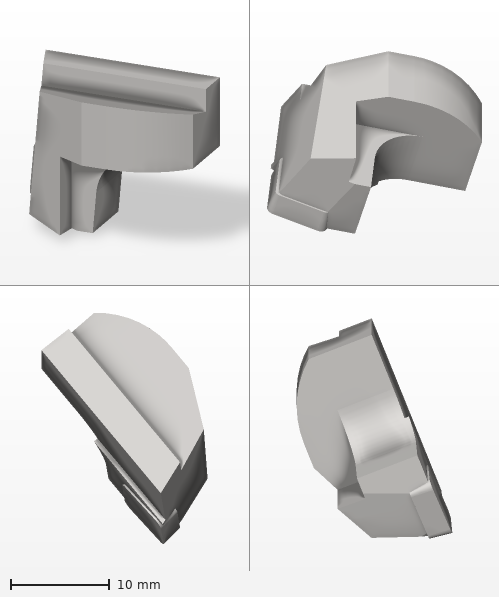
import cadquery as cq
import math


def slope(angle):
    return math.tan(math.radians(angle))


LENGTH = 20.5
HEIGHT = 16.93
BOTTOM_Z = 0.4
HEAD_RADIUS = 10.52
HEAD_FLAT_LEFT_X = 9.8
HEAD_FLAT_RIGHT_X = 12.53
OBLIQUE_ANGLE = 25.2
HEAD_BOTTOM_Z = 9.47

RIDGE_WIDTH = 3.55
RIDGE_FOOT_Z = 14.47
DECK_ANGLE = 15.0

LEFT_TOP_X = 1.3
LEFT_LEAN = 5.0
LEFT_RELIEF = 20.0
END_ANGLE = 15.0
END_RELIEF = 6.0
END_Z = 1.76

SHANK_STEP_X = 6.8
SHANK_FRONT_Y = -6.09
THROAT_RADIUS = 5.0
SHANK_RIGHT_X = 9.12

LIP_THICKNESS = 0.47
LIP_TOP_Z = 8.45

INSCRIBED_DIAMETER = 6.35
INSERT_THICKNESS = 2.38
INSERT_NOSE_RADIUS = 0.8
INSERT_CLEARANCE = 7.0
INSERT_REAR_Y = 0.68
INSERT_FRONT_Y = INSERT_REAR_Y - INSERT_THICKNESS

RELIEF_START_X = 0.3
RELIEF_START_Z = 7.9
RELIEF_ANGLE = 34.5
RELIEF_END_X = 1.23
CORNER_LEFT_Z = 2.0
CORNER_RIGHT_X = 0.98
CORNER_DEPTH = 0.7

MARGIN = 4.1


def left_x(y, z):
    """X of the left face."""
    return LEFT_TOP_X - (HEIGHT - z) * slope(LEFT_LEAN) - y * slope(LEFT_RELIEF)


def end_z(x, y):
    """Z of the slanted lower end."""
    return END_Z - x * slope(END_ANGLE) - y * slope(END_RELIEF)


def solid_between(bottom, top):
    """Solid with flat faces between two outlines of equal point count."""
    def face(points):
        return cq.Face.makeFromWires(cq.Wire.makePolygon(points, close=True))

    sides = []
    for i in range(len(bottom)):
        j = (i + 1) % len(bottom)
        sides.append(face([bottom[i], bottom[j], top[j], top[i]]))
    shell = cq.Shell.makeShell([face(bottom), face(top)] + sides)
    return cq.Workplane(obj=cq.Solid.makeSolid(shell).fix())


def extrude_y(outline, front_y, rear_y):
    """Prism of an XZ sketch from front_y back to rear_y."""
    return outline.extrude(rear_y - front_y).translate((0, rear_y, 0))


def head_plan():
    """Full-height block with the rounded and oblique front."""
    left = -MARGIN
    oblique_y = -HEAD_RADIUS + (HEAD_FLAT_LEFT_X - left) * slope(OBLIQUE_ANGLE)
    reach = LENGTH - HEAD_FLAT_RIGHT_X
    half_turn = math.asin(reach / HEAD_RADIUS) / 2
    middle = (
        HEAD_FLAT_RIGHT_X + HEAD_RADIUS * math.sin(half_turn),
        -HEAD_RADIUS * math.cos(half_turn),
    )
    arc_end_y = -math.sqrt(HEAD_RADIUS**2 - reach**2)
    return (
        cq.Workplane("XY").workplane(offset=BOTTOM_Z)
        .moveTo(left, 0)
        .lineTo(left, oblique_y)
        .lineTo(HEAD_FLAT_LEFT_X, -HEAD_RADIUS)
        .lineTo(HEAD_FLAT_RIGHT_X, -HEAD_RADIUS)
        .threePointArc(middle, (LENGTH, arc_end_y))
        .lineTo(LENGTH, 0)
        .close()
        .extrude(HEIGHT - BOTTOM_Z)
    )


def lip():
    """Thin pad on the rear face."""
    return cq.Workplane("XY").box(
        LENGTH + MARGIN, LIP_THICKNESS, LIP_TOP_Z - BOTTOM_Z, centered=False
    ).translate((-MARGIN, 0, BOTTOM_Z))


def deck_cut():
    """Space above the sloping top in front of the ridge."""
    front_y = -HEAD_RADIUS - MARGIN
    front_z = RIDGE_FOOT_Z + (-RIDGE_WIDTH - front_y) * slope(DECK_ANGLE)
    top_z = HEIGHT + MARGIN
    outline = [
        (-RIDGE_WIDTH, RIDGE_FOOT_Z), (front_y, front_z), (front_y, top_z), (-RIDGE_WIDTH, top_z),
    ]
    return (
        cq.Workplane("YZ").polyline(outline).close()
        .extrude(LENGTH + 2 * MARGIN).translate((-MARGIN, 0, 0))
    )


def throat_cut():
    """Space right of the shank, rounded under the head."""
    center_z = HEAD_BOTTOM_Z - THROAT_RADIUS
    lean = math.radians(LEFT_LEAN)
    tangent_z = center_z + THROAT_RADIUS * math.sin(lean)
    tangent_x = SHANK_RIGHT_X + (tangent_z - BOTTOM_Z) * slope(LEFT_LEAN)
    center_x = tangent_x + THROAT_RADIUS * math.cos(lean)
    middle_angle = (math.pi / 2 + math.pi - lean) / 2
    middle = (
        center_x + THROAT_RADIUS * math.cos(middle_angle),
        center_z + THROAT_RADIUS * math.sin(middle_angle),
    )
    outline = (
        cq.Workplane("XZ")
        .moveTo(SHANK_RIGHT_X, BOTTOM_Z)
        .lineTo(tangent_x, tangent_z)
        .threePointArc(middle, (center_x, HEAD_BOTTOM_Z))
        .lineTo(LENGTH + MARGIN, HEAD_BOTTOM_Z)
        .lineTo(LENGTH + MARGIN, BOTTOM_Z)
        .close()
    )
    return extrude_y(outline, -HEAD_RADIUS - MARGIN, MARGIN)


def shank_step_cut():
    """Space under the head in front of the thinner part of the shank."""
    return cq.Workplane("XY").box(
        LENGTH, HEAD_RADIUS + MARGIN, HEAD_BOTTOM_Z, centered=False
    ).translate((SHANK_STEP_X, SHANK_FRONT_Y - HEAD_RADIUS - MARGIN, 0))


def left_cut():
    """Space left of the leaning left face."""
    def level(z):
        front_y = -HEAD_RADIUS - MARGIN
        return [
            cq.Vector(left_x(MARGIN, z), MARGIN, z),
            cq.Vector(left_x(front_y, z), front_y, z),
            cq.Vector(-2 * MARGIN, front_y, z),
            cq.Vector(-2 * MARGIN, MARGIN, z),
        ]

    return solid_between(level(-MARGIN), level(HEIGHT + MARGIN))


def end_cut():
    """Space below the slanted lower end."""
    def section(x):
        front_y = -HEAD_RADIUS - MARGIN
        return [
            cq.Vector(x, MARGIN, end_z(x, MARGIN)),
            cq.Vector(x, front_y, end_z(x, front_y)),
            cq.Vector(x, front_y, -2 * MARGIN),
            cq.Vector(x, MARGIN, -2 * MARGIN),
        ]

    return solid_between(section(-MARGIN), section(LENGTH))


def pocket_relief_cut():
    """Space above the upper corner of the insert and left of the insert."""
    left_z = RELIEF_START_Z + (RELIEF_START_X + MARGIN) * slope(RELIEF_ANGLE)
    end_relief_z = RELIEF_START_Z - (RELIEF_END_X - RELIEF_START_X) * slope(RELIEF_ANGLE)
    outline = cq.Workplane("XZ").polyline([
        (-MARGIN, left_z),
        (RELIEF_END_X, end_relief_z),
        (RELIEF_END_X - end_relief_z * slope(LEFT_LEAN), 0),
        (-MARGIN, 0),
    ]).close()
    return extrude_y(outline, INSERT_FRONT_Y, LIP_THICKNESS)


def corner_edge_point(y):
    """Point at depth y on the edge between the left face and the lower end."""
    lean = slope(LEFT_LEAN)
    x_at_zero = left_x(y, 0)
    x = (x_at_zero + lean * end_z(0, y)) / (1 + lean * slope(END_ANGLE))
    return cq.Vector(x, y, end_z(x, y))


def corner_cut():
    """Small chamfer on the lower left corner, fading out toward the front."""
    y = INSERT_FRONT_Y
    tip = corner_edge_point(y - CORNER_DEPTH)
    root = corner_edge_point(y)
    left = cq.Vector(left_x(y, CORNER_LEFT_Z), y, CORNER_LEFT_Z)
    right = cq.Vector(CORNER_RIGHT_X, y, end_z(CORNER_RIGHT_X, y))
    faces = []
    for points in ([root, left, right], [root, left, tip], [left, right, tip], [right, root, tip]):
        faces.append(cq.Face.makeFromWires(cq.Wire.makePolygon(points, close=True)))
    return cq.Workplane(obj=cq.Solid.makeSolid(cq.Shell.makeShell(faces)).fix())


def make_insert():
    """Rhombic cutting insert, tapered toward the front, its rounded obtuse corner lowest left."""
    side = INSCRIBED_DIAMETER / math.sin(math.radians(90 - LEFT_LEAN + END_ANGLE))
    lean = math.radians(LEFT_LEAN)
    tilt = math.radians(END_ANGLE)
    up = cq.Vector(side * math.sin(lean), side * math.cos(lean))
    along = cq.Vector(side * math.cos(tilt), -side * math.sin(tilt))
    rhombus = [(p.x, p.y) for p in (cq.Vector(), along, along + up, up)]
    blank = cq.Workplane("XZ").polyline(rhombus).close().extrude(INSERT_THICKNESS)
    rounded = blank.edges("|Y").fillet(INSERT_NOSE_RADIUS)
    outline = rounded.faces(">Y").wires().toPending()
    tapered = outline.extrude(INSERT_THICKNESS, combine=False, taper=INSERT_CLEARANCE)
    box = tapered.val().BoundingBox()
    return tapered.translate((-box.xmin, INSERT_REAR_Y - box.ymax, -box.zmin))


def make_holder(insert):
    body = head_plan().union(lip())
    for cutter in (
        deck_cut(), throat_cut(), shank_step_cut(), left_cut(), end_cut(),
        pocket_relief_cut(), corner_cut(), insert,
    ):
        body = body.cut(cutter)
    return body


insert = make_insert()
holder = make_holder(insert)
result = cq.Compound.makeCompound([holder.val(), insert.val()])